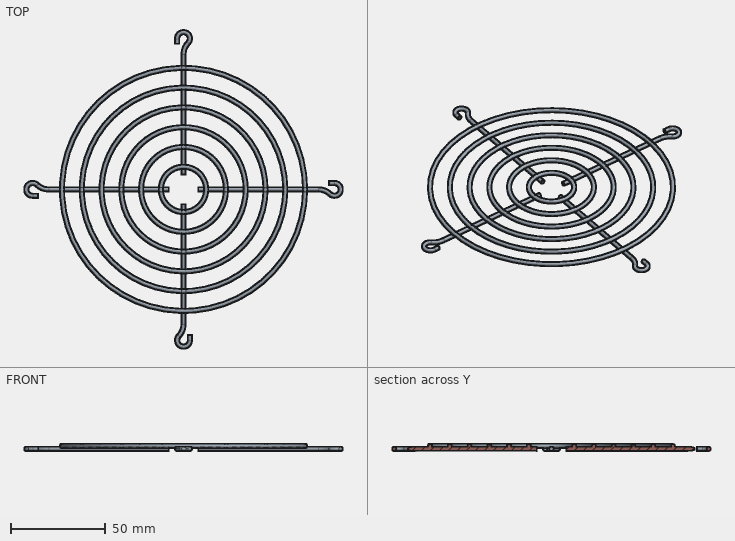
import cadquery as cq
import math

outer_span = 169.0
height = 3.9
wire_diameter = 2.4
wire_radius = wire_diameter / 2

ring_count = 6
first_ring_radius = 12.0
ring_pitch = 10.5

spoke_count = 4
spoke_start = 7.8
hook_radius = 3.4
hook_tail = 2.9
neck_length = 8.5

spoke_z = wire_radius - height / 2
ring_z = height / 2 - wire_radius

hook_centre = outer_span / 2 - wire_radius - hook_radius
spoke_end = hook_centre - neck_length

neck_radius = (neck_length**2 - hook_radius**2) / (2 * hook_radius)
neck_angle = math.atan2(neck_length, neck_radius)


def ring(radius):
    return cq.Workplane("XY").add(cq.Solid.makeTorus(radius, wire_radius)).translate((0, 0, ring_z))


def neck_point(angle):
    return (
        neck_radius * (1 - math.cos(angle)),
        spoke_end + neck_radius * math.sin(angle),
    )


def hooked_spoke():
    """Spoke along +Y whose hook bulges towards +X and ends in a straight tail."""
    path = (
        cq.Workplane("XY", origin=(0, 0, spoke_z))
        .moveTo(0, spoke_start)
        .lineTo(0, spoke_end)
        .threePointArc(neck_point(neck_angle / 2), neck_point(neck_angle))
        .threePointArc((0, hook_centre + hook_radius), (-hook_radius, hook_centre))
        .lineTo(-hook_radius, hook_centre - hook_tail)
    )
    profile = cq.Workplane("XZ", origin=(0, spoke_start, spoke_z)).circle(wire_radius)
    return profile.sweep(path)


result = ring(first_ring_radius)
spoke = hooked_spoke()
for index in range(spoke_count):
    turn = index * 360 / spoke_count
    result = result.union(spoke.rotate((0, 0, 0), (0, 0, 1), turn))
for index in range(1, ring_count):
    result = result.union(ring(first_ring_radius + index * ring_pitch))